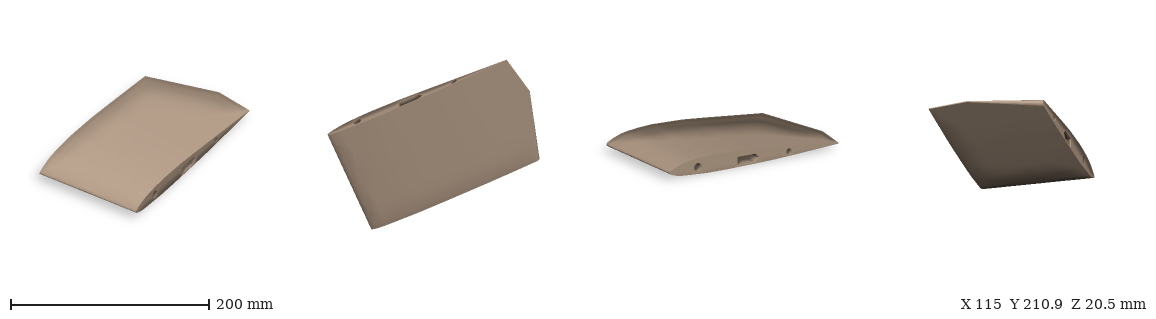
import cadquery as cq

SPAN = 115.0
ROOT_X = -SPAN / 2
TIP_X = SPAN / 2
LEADING_Y = -105.5
TRAILING_Y = 116.2

TIP_SCALE = 0.9
TAPER_Y = -54.8
TAPER_Z = -3.2

TRAILING_TOP = (TRAILING_Y, -3.0)
TRAILING_BOTTOM = (TRAILING_Y, -4.0)
PANEL_TOP = (10.5, 7.2)
PANEL_BOTTOM = (54.8, -7.5)
NOSE_CURVE = [
    (-14.0, 9.3), (-36.9, 10.1), (-52.7, 10.3), (-67.5, 9.5), (-82.6, 7.5), (-97.8, 3.0),
    (LEADING_Y, -2.5),
    (-97.8, -6.5), (-82.6, -8.5), (-67.5, -9.5), (-52.0, -10.1), (-33.7, -10.1), (1.3, -9.5),
]

TRIM_ROOT_Y = 79.0
TRIM_END_X = 16.0
TRIM_END_Y = 105.3
ROUND_ROOT_BULGE = 3.0
ROUND_END_BULGE = 0.1

REAR_HOLE = (40.3, -2.5)
REAR_HOLE_DIAMETER = 6.3
FRONT_HOLE = (-67.5, -1.5)
FRONT_HOLE_DIAMETER = 8.6
SLOT_FRONT_Y = -20.7
SLOT_REAR_Y = 4.8
SLOT_TOP_Z = 1.7
SLOT_BOTTOM_Z = -7.8
SLOT_CHAMFER = 4.5
SLIT_DEPTH = 8.2
SLIT_THICKNESS = 0.2
SLIT_Z = -3.2


def section_plane(x):
    """Section plane at x, with local axes along Y and Z."""
    return cq.Workplane("YZ", origin=(x, 0, 0))


def taper_at(x):
    return 1 + (TIP_SCALE - 1) * (x - ROOT_X) / SPAN


def tapered(point, x):
    """Position at x of the skin line that starts at a root section point."""
    scale = taper_at(x)
    y, z = point
    return (TAPER_Y + scale * (y - TAPER_Y), TAPER_Z + scale * (z - TAPER_Z))


def airfoil_wire(x):
    panel_top = tapered(PANEL_TOP, x)
    panel_bottom = tapered(PANEL_BOTTOM, x)
    curve = [tapered(point, x) for point in NOSE_CURVE]
    top_slope = (PANEL_TOP[0] - TRAILING_TOP[0], PANEL_TOP[1] - TRAILING_TOP[1])
    bottom_slope = (TRAILING_BOTTOM[0] - PANEL_BOTTOM[0], TRAILING_BOTTOM[1] - PANEL_BOTTOM[1])
    outline = (
        section_plane(x)
        .moveTo(*tapered(TRAILING_TOP, x))
        .lineTo(*panel_top)
        .spline(curve + [panel_bottom], tangents=[top_slope, bottom_slope], includeCurrent=True)
        .lineTo(*tapered(TRAILING_BOTTOM, x))
        .close()
    )
    return outline.val()


def panel_height(y, x, start, end):
    """Height of a straight aft panel at (x, y)."""
    y_start, z_start = tapered(start, x)
    y_end, z_end = tapered(end, x)
    return z_start + (z_end - z_start) * (y - y_start) / (y_end - y_start)


def rounded_edge_wire(x, y, bulge):
    """Arc segment standing on the trimmed face, flush with both skins."""
    top = panel_height(y, x, TRAILING_TOP, PANEL_TOP)
    bottom = panel_height(y, x, TRAILING_BOTTOM, PANEL_BOTTOM)
    outline = (
        section_plane(x)
        .moveTo(y, bottom)
        .threePointArc((y + bulge, (top + bottom) / 2), (y, top))
        .close()
    )
    return outline.val()


def ruled_solid(wires):
    return cq.Workplane(cq.Solid.makeLoft(wires, True))


def corner_cutter():
    """Everything behind the trim line, from the root to the end of the trim."""
    height = SPAN
    return (
        cq.Workplane("XY", origin=(0, 0, -height / 2))
        .polyline([(ROOT_X, TRIM_ROOT_Y), (TRIM_END_X, TRIM_END_Y),
                   (TRIM_END_X, TRAILING_Y + 2.1), (ROOT_X, TRAILING_Y + 2.1)])
        .close()
        .extrude(height)
    )


def round_passage(center, diameter):
    return section_plane(ROOT_X).center(*center).circle(diameter / 2).extrude(SPAN)


def slot_passage():
    shoulder_y = SLOT_REAR_Y - SLOT_CHAMFER
    return (
        section_plane(ROOT_X)
        .polyline([
            (SLOT_FRONT_Y, SLOT_BOTTOM_Z),
            (shoulder_y, SLOT_BOTTOM_Z),
            (SLOT_REAR_Y, SLOT_BOTTOM_Z + SLOT_CHAMFER),
            (SLOT_REAR_Y, SLOT_TOP_Z - SLOT_CHAMFER),
            (shoulder_y, SLOT_TOP_Z),
            (SLOT_FRONT_Y, SLOT_TOP_Z),
        ])
        .close()
        .extrude(SPAN)
    )


def leading_edge_slit():
    return (
        section_plane(ROOT_X)
        .center(LEADING_Y, SLIT_Z)
        .rect(2 * SLIT_DEPTH, SLIT_THICKNESS)
        .extrude(SPAN)
    )


wing = ruled_solid([airfoil_wire(ROOT_X), airfoil_wire(TIP_X)])
wing = wing.cut(corner_cutter())
rounded_edge = ruled_solid([
    rounded_edge_wire(ROOT_X, TRIM_ROOT_Y, ROUND_ROOT_BULGE),
    rounded_edge_wire(TRIM_END_X, TRIM_END_Y, ROUND_END_BULGE),
])
wing = wing.union(rounded_edge)
wing = wing.cut(round_passage(REAR_HOLE, REAR_HOLE_DIAMETER))
wing = wing.cut(round_passage(FRONT_HOLE, FRONT_HOLE_DIAMETER))
wing = wing.cut(slot_passage())
wing = wing.cut(leading_edge_slit())
result = wing